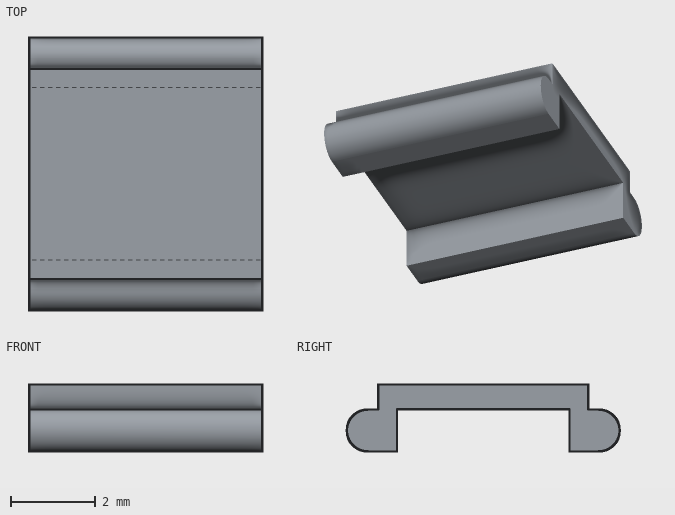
import cadquery as cq

length = 5.55
overall_width = 6.5
plate_width = 5.0
channel_width = 4.1
overall_height = 1.6
rail_height = 1.0

rail_radius = rail_height / 2
half_overall = overall_width / 2
half_plate = plate_width / 2
half_channel = channel_width / 2
round_start = half_overall - rail_radius


def make_profile():
    """Closed cross-section in the YZ plane, with the rail feet on Z = 0."""
    return (
        cq.Workplane("YZ")
        .moveTo(-half_plate, overall_height)
        .lineTo(half_plate, overall_height)
        .lineTo(half_plate, rail_height)
        .lineTo(round_start, rail_height)
        .threePointArc((half_overall, rail_radius), (round_start, 0))
        .lineTo(half_channel, 0)
        .lineTo(half_channel, rail_height)
        .lineTo(-half_channel, rail_height)
        .lineTo(-half_channel, 0)
        .lineTo(-round_start, 0)
        .threePointArc((-half_overall, rail_radius), (-round_start, rail_height))
        .lineTo(-half_plate, rail_height)
        .close()
    )


result = make_profile().extrude(length / 2, both=True)